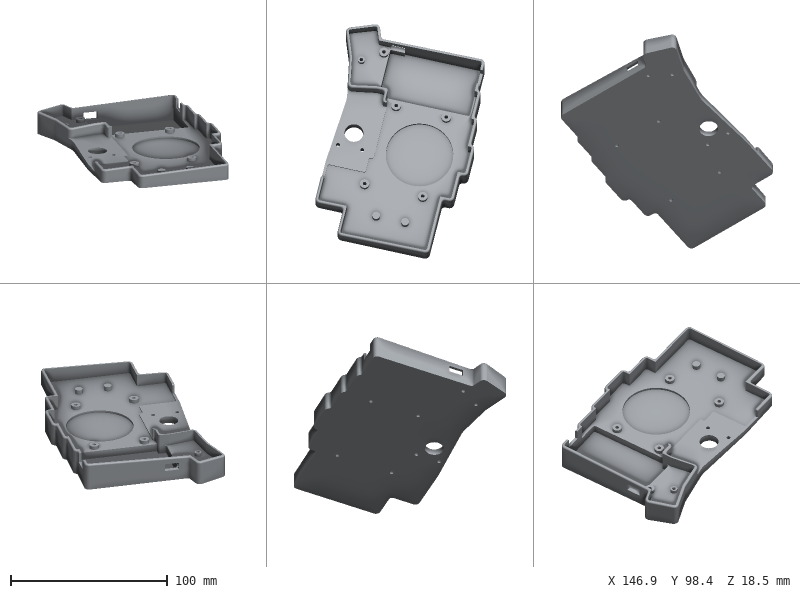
import cadquery as cq
import math

BOTTOM_TILT = 3.0
RIM_TILT = 2.0
FRONT_RIM_Z = 15.1
DEPTH_Y = 98.4
WALL = 1.8
CORNER_RADIUS = 1.3
JOG_RADIUS = 2.0
RIM_RADIUS = 1.0
FLOOR_Z = 8.2
APRON_Z = 9.0
POCKET_SKIN = 0.7
LENGTH_X = 146.9
MARGIN = 14.7
NEAR = 0.1
TALL = 58.7

bottom_slope = math.tan(math.radians(BOTTOM_TILT))
rim_slope = math.tan(math.radians(RIM_TILT))

KEY_PITCH = 19.0
LEFT_X = 10.7
RIGHT_X = LENGTH_X - WALL
FIRST_COLUMN_X = 31.6
COLUMN_TOPS = [89.6, 91.8, 94.0, DEPTH_Y - WALL, 91.8, 84.7]
FALLING_SHIFT = 0.3

RIGHT_FRONT_Y = 28.0
NOTCH_X = 126.2
FRONT_Y = 9.1

APRON_RIGHT_X = 98.3
APRON_STEP_X = 87.7
APRON_LOW_Y = 33.8
APRON_BACK_Y = 36.5
APRON_LEFT_X = 50.5

THUMB_SIDE_X = 41.7
THUMB_BACK_Y = 35.2
THUMB_BEND_Y = 27.9
THUMB_TILT = 20.0
THUMB_TILT_INNER = 10.0
THUMB_WIDTH = KEY_PITCH
THUMB_WIDTH_INNER = 19.4
THUMB_DEPTH = 18.4

APRON_PEAK_X = 51.5
APRON_FOOT_X = 96.2
APRON_BEND_RADIUS = 20.5
WALL_END_X = 51.4
FRONT_WALL_X = 109.4
WALL_END_RADIUS = 0.9
APRON_HOLE = (73.6, 20.4)
APRON_HOLE_DIAMETER = 12.0
APRON_PIN_CENTERS = [(83.7, 12.3), (83.7, 28.2)]
PIN_DIAMETER = 2.5

POCKET_RIGHT_X = 45.2
POCKET_FRONT_Y = 29.8
LEDGE_X = 12.0
LEDGE_BACK_Y = 39.2
WINDOW_LOW_Z = 7.5
WINDOW_HIGH_Z = 12.3
GAP_LEFT_X = 16.5
GAP_RIGHT_X = 26.1
GAP_Z = 11.7
RECESS_CENTER = (78.5, 64.5)
RECESS_DIAMETER = 43.0
RECESS_DEPTH = 1.5

BOSS_CENTERS = [(15.5, 26.5), (49.6, 42.5), (50.1, 75.3), (106.5, 73.1), (106.5, 35.1)]
BOSS_DIAMETER = 6.0
BOSS_TOP_Z = 10.6
SCREW_DIAMETER = 2.3
THUMB_BOSS = (24.0, 13.7)
THUMB_BOSS_DIAMETER = 4.4
PEG_CENTERS = [(126.3, 47.3), (126.3, 47.3 + KEY_PITCH)]
PEG_DIAMETER = 5.0
PEG_TOP_Z = 11.2


def polar(start, length, angle):
    """Point at a distance from start, angle in degrees from +X."""
    turn = math.radians(angle)
    return (start[0] + length * math.cos(turn), start[1] + length * math.sin(turn))


thumb_turn = math.radians(THUMB_TILT)
tip_inset = WALL + CORNER_RADIUS * (1 - math.cos(thumb_turn) - math.sin(thumb_turn))
thumb_tip = (tip_inset + THUMB_DEPTH * math.sin(thumb_turn), tip_inset)
thumb_bend = polar(thumb_tip, THUMB_WIDTH, THUMB_TILT)
thumb_end = polar(thumb_bend, THUMB_WIDTH_INNER, THUMB_TILT_INNER)
thumb_back = polar(thumb_tip, THUMB_DEPTH, THUMB_TILT + 90)
side_reach = (LEFT_X - thumb_back[0]) / math.cos(thumb_turn)
thumb_meets_side = polar(thumb_back, side_reach, THUMB_TILT)


def cavity_points():
    """Clockwise outline of the cavity with sharp corners, starting at the left wall."""
    outline = [thumb_meets_side, (LEFT_X, COLUMN_TOPS[0])]
    tallest = COLUMN_TOPS.index(max(COLUMN_TOPS))
    for i in range(1, len(COLUMN_TOPS)):
        x = FIRST_COLUMN_X + (i - 1) * KEY_PITCH
        if i > tallest:
            x -= FALLING_SHIFT
        outline += [(x, COLUMN_TOPS[i - 1]), (x, COLUMN_TOPS[i])]
    outline += [
        (RIGHT_X, COLUMN_TOPS[-1]),
        (RIGHT_X, RIGHT_FRONT_Y),
        (NOTCH_X, RIGHT_FRONT_Y),
        (NOTCH_X, FRONT_Y),
        (APRON_RIGHT_X, FRONT_Y),
        (APRON_RIGHT_X, APRON_LOW_Y),
        (APRON_STEP_X, APRON_LOW_Y),
        (APRON_STEP_X, APRON_BACK_Y),
        (APRON_LEFT_X, APRON_BACK_Y),
        (APRON_LEFT_X, THUMB_BACK_Y),
        (THUMB_SIDE_X, THUMB_BACK_Y),
        (THUMB_SIDE_X, THUMB_BEND_Y),
        thumb_end,
        thumb_bend,
        thumb_tip,
        thumb_back,
    ]
    return outline


def opened_outline(grow):
    """Cavity outline with rounded inside corners, offset outward by grow."""
    shrunk = cq.Workplane("XY").polyline(cavity_points()).close().offset2D(-CORNER_RADIUS)
    return shrunk.offset2D(CORNER_RADIUS + grow)


def above_underside():
    """Everything above the tilted underside."""
    return (
        cq.Workplane("XZ")
        .polyline([
            (-MARGIN, -MARGIN * bottom_slope),
            (LENGTH_X + MARGIN, (LENGTH_X + MARGIN) * bottom_slope),
            (LENGTH_X + MARGIN, TALL),
            (-MARGIN, TALL),
        ])
        .close()
        .extrude(-DEPTH_Y - MARGIN)
        .translate((0, -MARGIN / 2, 0))
    )


def below_rim():
    """Everything below the tilted rim plane."""
    return (
        cq.Workplane("YZ")
        .polyline([
            (-MARGIN, -TALL),
            (DEPTH_Y + MARGIN, -TALL),
            (DEPTH_Y + MARGIN, FRONT_RIM_Z + (DEPTH_Y + MARGIN) * rim_slope),
            (-MARGIN, FRONT_RIM_Z - MARGIN * rim_slope),
        ])
        .close()
        .extrude(LENGTH_X + 2 * MARGIN)
        .translate((-MARGIN, 0, 0))
    )


def walled_block():
    """Solid block in the outer outline, its rim edge rounded."""
    outline = opened_outline(WALL + JOG_RADIUS).offset2D(-JOG_RADIUS)
    block = outline.extrude(TALL).intersect(above_underside()).intersect(below_rim())
    return block.faces(">Z").edges().fillet(RIM_RADIUS)


def apron():
    """Solid shelf that fills the front between the thumb cluster and the front wall."""
    start = polar(thumb_bend, WALL, THUMB_TILT_INNER - 90)
    front = FRONT_Y - WALL
    reach = (APRON_PEAK_X - start[0]) / math.cos(math.radians(THUMB_TILT_INNER))
    peak = polar(start, reach, THUMB_TILT_INNER)
    foot = (APRON_FOOT_X, front)
    fall = math.degrees(math.atan2(front - peak[1], APRON_FOOT_X - APRON_PEAK_X))
    peak_trim = APRON_BEND_RADIUS * math.tan(math.radians(THUMB_TILT_INNER - fall) / 2)
    foot_trim = APRON_BEND_RADIUS * math.tan(math.radians(-fall) / 2)
    plate = (
        cq.Workplane("XY")
        .moveTo(*start)
        .lineTo(*polar(peak, -peak_trim, THUMB_TILT_INNER))
        .radiusArc(polar(peak, peak_trim, fall), APRON_BEND_RADIUS)
        .lineTo(*polar(foot, -foot_trim, fall))
        .radiusArc((APRON_FOOT_X + foot_trim, front), -APRON_BEND_RADIUS)
        .lineTo(FRONT_WALL_X + WALL, front)
        .lineTo(FRONT_WALL_X + WALL, APRON_BACK_Y + WALL)
        .lineTo(THUMB_SIDE_X, APRON_BACK_Y + WALL)
        .close()
        .extrude(APRON_Z)
    )
    return plate.intersect(above_underside())


def box_between(low, high):
    """Box spanning two opposite corners."""
    size = [b - a for a, b in zip(low, high)]
    return cq.Workplane("XY").box(*size, centered=False).translate(low)


def round_corner(solid, corner, radius):
    """Round the upright edges that stand at one point of the plan."""
    x, y = corner
    upright = cq.selectors.BoxSelector((x - NEAR, y - NEAR, 0), (x + NEAR, y + NEAR, TALL))
    return solid.edges(upright).fillet(radius)


def cavity():
    """Space above the main floor."""
    hollow = opened_outline(0).extrude(TALL).translate((0, 0, FLOOR_Z))
    hollow = round_corner(hollow, (THUMB_SIDE_X, THUMB_BACK_Y), CORNER_RADIUS)
    return round_corner(hollow, (APRON_RIGHT_X, APRON_LOW_Y), CORNER_RADIUS)


def battery_pocket():
    """Deep pocket whose bottom runs parallel to the underside."""
    pocket = (
        cq.Workplane("XY")
        .polyline([
            (LEFT_X, LEDGE_BACK_Y),
            (LEDGE_X, LEDGE_BACK_Y),
            (LEDGE_X, POCKET_FRONT_Y),
            (THUMB_SIDE_X, POCKET_FRONT_Y),
            (THUMB_SIDE_X, THUMB_BACK_Y),
            (POCKET_RIGHT_X, THUMB_BACK_Y),
            (POCKET_RIGHT_X, COLUMN_TOPS[0]),
            (LEFT_X, COLUMN_TOPS[0]),
        ])
        .close()
        .extrude(FLOOR_Z + 1.5)
    )
    for corner in (
        (POCKET_RIGHT_X, COLUMN_TOPS[0]),
        (THUMB_SIDE_X, THUMB_BACK_Y),
        (THUMB_SIDE_X, POCKET_FRONT_Y),
        (LEDGE_X, POCKET_FRONT_Y),
    ):
        pocket = round_corner(pocket, corner, CORNER_RADIUS)
    return pocket.intersect(above_underside().translate((0, 0, POCKET_SKIN)))


def discs(centers, diameter, low, high):
    """Upright cylinders between two heights."""
    return (
        cq.Workplane("XY", origin=(0, 0, low))
        .pushPoints(centers)
        .circle(diameter / 2)
        .extrude(high - low)
    )


tray = walled_block().union(apron()).cut(cavity())

tray = tray.cut(box_between((WALL_END_X, -MARGIN, APRON_Z), (FRONT_WALL_X, APRON_BACK_Y + WALL, TALL)))
tray = round_corner(tray, (FRONT_WALL_X, FRONT_Y - WALL), WALL_END_RADIUS)

tray = tray.cut(battery_pocket())
tray = tray.cut(discs([RECESS_CENTER], RECESS_DIAMETER, FLOOR_Z - RECESS_DEPTH, TALL))

tray = tray.cut(box_between((0, POCKET_FRONT_Y, WINDOW_LOW_Z), (LEDGE_X, LEDGE_BACK_Y, WINDOW_HIGH_Z)))
rear_y = COLUMN_TOPS[0]
tray = tray.cut(box_between((GAP_LEFT_X, rear_y, GAP_Z), (GAP_RIGHT_X, rear_y + 2 * WALL, TALL)))

tray = tray.union(discs(BOSS_CENTERS, BOSS_DIAMETER, FLOOR_Z, BOSS_TOP_Z))
tray = tray.union(discs([THUMB_BOSS], THUMB_BOSS_DIAMETER, FLOOR_Z, BOSS_TOP_Z))
tray = tray.union(discs(PEG_CENTERS, PEG_DIAMETER, FLOOR_Z, PEG_TOP_Z))

tray = tray.cut(discs(BOSS_CENTERS + [THUMB_BOSS], SCREW_DIAMETER, -MARGIN, TALL))
tray = tray.cut(discs(APRON_PIN_CENTERS, PIN_DIAMETER, -MARGIN, TALL))
tray = tray.cut(discs([APRON_HOLE], APRON_HOLE_DIAMETER, -MARGIN, TALL))

result = tray